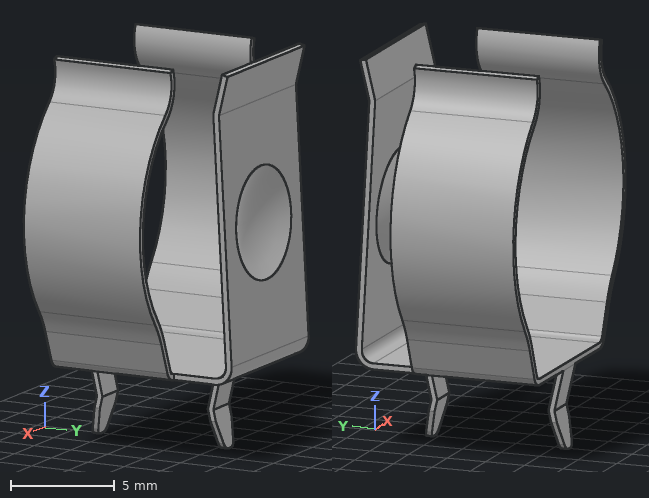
import cadquery as cq
import math

sheet = 0.31
clip_depth = 9.52
clip_width = 14.8
clip_height = 19.39
clip_top = 15.35

arm_depth = 6.36
belly_radius = clip_width / 2
belly_height = 7.62
belly_angle_up = 49.5
belly_angle_down = 37.8
lip_radius = 1.78
lip_end_angle = 21.0
flank_angle = 22.0
waist_radius = 4.61
floor_bend_radius = 0.7

plate_width = 7.87
plate_bend_radius = 0.91
plate_lean = 3.2
plate_kink_height = 13.32
lip_lean = 13.4

dome_height = 7.3
dome_rim_radius = 2.89
dome_rise = 0.81

pin_width = 1.6
pin_length = clip_height - clip_top
pin_kink_depth = 2.04
pin_kink_offset = 0.47
pin_taper_depth = 2.62
pin_tip_width = 0.81
pin_tip_radius = 0.39
pin_span = 7.31


def unit(angle):
    """Direction in a profile plane, in degrees counterclockwise from horizontal."""
    return cq.Vector(math.cos(math.radians(angle)), math.sin(math.radians(angle)))


def strip(plane, steps, width, symmetric=False):
    """Extrude a bent sheet whose right-hand edge starts at the origin, heading right.

    Each step is (length, 0) for a straight, (radius, turn) for a bend or (0, turn) for a
    mitred corner. Positive turns go left. The sheet lies to the left of the edge.
    """
    heading = 0
    right = cq.Vector(0, 0)
    left = cq.Vector(0, sheet)
    right_edges = []
    left_edges = []
    for size, turn in steps:
        if size == 0:
            mitre = sheet / math.cos(math.radians(turn / 2))
            left = right + unit(heading + turn / 2 + 90) * mitre
            heading += turn
            continue
        left_start = left
        right_middle = None
        left_middle = None
        if turn == 0:
            right = right + unit(heading) * size
        else:
            side = math.copysign(90, turn)
            center = right + unit(heading + side) * size
            left_radius = size - math.copysign(sheet, turn)
            middle_ray = unit(heading + turn / 2 - side)
            right_middle = center + middle_ray * size
            left_middle = center + middle_ray * left_radius
            heading += turn
            right = center + unit(heading - side) * size
        left = right + unit(heading + 90) * sheet
        right_edges.append((right_middle, right))
        left_edges.append((left_middle, left_start))

    outline = draw_edges(cq.Workplane(plane), right_edges)
    outline = outline.lineTo(left.x, left.y)
    outline = draw_edges(outline, reversed(left_edges))
    return outline.close().extrude(width, both=symmetric)


def draw_edges(outline, edges):
    """Draw a line, or an arc where a midpoint is given, to each end point."""
    for middle, end in edges:
        if middle is None:
            outline = outline.lineTo(end.x, end.y)
        else:
            outline = outline.threePointArc((middle.x, middle.y), (end.x, end.y))
    return outline


def make_arm():
    """Half of the floor with the +X spring arm, ending in an outward curled lip."""
    belly_drop = belly_radius * math.sin(math.radians(belly_angle_down))
    waist_drop = waist_radius * (
        math.sin(math.radians(belly_angle_down)) - math.sin(math.radians(flank_angle))
    )
    bend_drop = floor_bend_radius * (1 - math.sin(math.radians(flank_angle)))
    flank_drop = belly_height - belly_drop - waist_drop - bend_drop
    flank_length = flank_drop / math.cos(math.radians(flank_angle))

    waist_x = belly_radius * math.cos(math.radians(belly_angle_down))
    waist_run = waist_radius * (
        math.cos(math.radians(flank_angle)) - math.cos(math.radians(belly_angle_down))
    )
    flank_run = flank_drop * math.tan(math.radians(flank_angle))
    bend_run = floor_bend_radius * math.cos(math.radians(flank_angle))
    floor_half = waist_x - waist_run - flank_run - bend_run

    steps = [
        (floor_half, 0),
        (floor_bend_radius, 90 - flank_angle),
        (flank_length, 0),
        (waist_radius, flank_angle - belly_angle_down),
        (belly_radius, belly_angle_down + belly_angle_up),
        (lip_radius, -belly_angle_up - lip_end_angle),
    ]
    return strip("XZ", steps, -arm_depth)


def make_back_plate():
    """Floor extension bent up into the leaning back plate, with a kinked top lip."""
    lean = math.radians(plate_lean)
    bend_top = plate_bend_radius * (1 + math.sin(lean))
    plate_length = (plate_kink_height - bend_top) / math.cos(lean)
    lip_tilt = math.radians(lip_lean)
    lip_rise = clip_top - plate_kink_height - sheet * math.sin(lip_tilt)
    steps = [
        (clip_depth - plate_bend_radius, 0),
        (plate_bend_radius, 90 + plate_lean),
        (plate_length, 0),
        (0, -plate_lean - lip_lean),
        (lip_rise / math.cos(lip_tilt), 0),
    ]
    return strip("YZ", steps, plate_width / 2, symmetric=True)


def add_dome(clip):
    """Press a hollow spherical dome of sheet thickness into the front of the back plate."""
    lean = math.radians(plate_lean)
    bend_y = clip_depth - plate_bend_radius * (1 - math.cos(lean))
    bend_z = plate_bend_radius * (1 + math.sin(lean))
    rear_y = bend_y - (dome_height - bend_z) * math.tan(lean)
    front_y = rear_y - sheet / math.cos(lean)

    plate_front = cq.Plane(
        origin=(0, front_y, dome_height),
        xDir=(1, 0, 0),
        normal=(0, -math.cos(lean), -math.sin(lean)),
    )
    outer_radius = (dome_rim_radius**2 + dome_rise**2) / (2 * dome_rise)
    center_offset = dome_rise - outer_radius
    center = cq.Workplane(plate_front).workplane(offset=center_offset)
    front_half = cq.Workplane(plate_front).circle(outer_radius).extrude(outer_radius)
    cap = center.sphere(outer_radius).intersect(front_half)
    behind = cq.Workplane(plate_front).workplane(offset=-sheet).circle(outer_radius)
    hollow = center.sphere(outer_radius - sheet).intersect(behind.extrude(outer_radius))
    return clip.union(cap).cut(hollow)


def make_pin():
    """Front solder pin: bent backwards at mid length, with a tapered, rounded tip."""
    side_profile = (
        cq.Workplane("YZ")
        .polyline([
            (0, 0),
            (pin_kink_offset, -pin_kink_depth),
            (0, -pin_length),
            (sheet, -pin_length),
            (pin_kink_offset + sheet, -pin_kink_depth),
            (sheet, 0),
        ])
        .close()
        .extrude(pin_width / 2, both=True)
    )
    front_outline = (
        cq.Workplane("XZ")
        .polyline([
            (-pin_width / 2, 0),
            (-pin_width / 2, -pin_taper_depth),
            (-pin_tip_width / 2, -pin_length),
            (pin_tip_width / 2, -pin_length),
            (pin_width / 2, -pin_taper_depth),
            (pin_width / 2, 0),
        ])
        .close()
        .extrude(-pin_span)
        .edges("|Y and <Z")
        .fillet(pin_tip_radius)
    )
    return side_profile.intersect(front_outline)


arm = make_arm()
clip = make_back_plate().union(arm).union(arm.mirror("YZ"))
clip = add_dome(clip)

pin = make_pin()
rear_pin = pin.mirror("XZ").translate((0, pin_span, 0))
result = clip.union(pin).union(rear_pin)